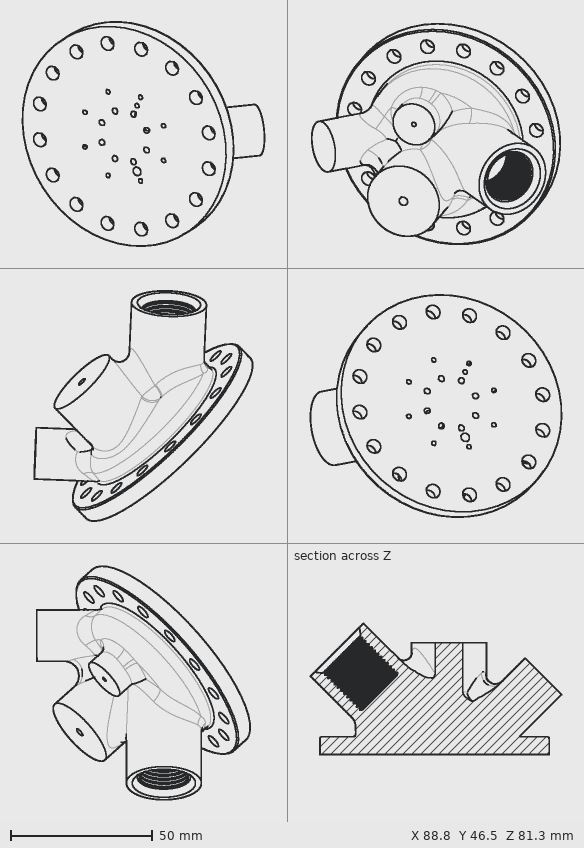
import cadquery as cq
import math

FLANGE_DIAMETER = 81.28
FLANGE_THICKNESS = 6.35
FLANGE_CHAMFER = 0.5
DOME_RADIUS = 28.0
DOME_TOP = 17.78
DOME_RIM_RADIUS = 6.35
DOME_BASE_FILLET = 0.9
BASE_RING_OVERLAP = 8.0

SMALL_BOSS_BLEND = 3.81
LARGE_BOSS_BLEND = 4.5
RIGHT_BOSS_BLEND = 5.5
SADDLE_BLEND = 5.4

BOLT_STEP = 22.5
BOLT_RING_RADIUS = 34.35
BOLT_HOLE_DIAMETER = 5.0

ORIFICE_STEP = 45.0
ORIFICE_DEPTH = 5.0
ORIFICE_TILT = 25.0
OUTER_ORIFICE_RING_RADIUS = 16.95
OUTER_ORIFICE_DIAMETER = 1.5
INNER_ORIFICE_RING_RADIUS = 9.65
INNER_ORIFICE_DIAMETER = 2.0

BOSS_RING_RADIUS = 13.3
BOSS_RING_ANGLE = 67.5
BIG_BOSS_RADIUS = 13.3
BIG_BOSS_TOP = 39.65
BIG_BOSS_HOLE_DIAMETER = 3.1
SMALL_BOSS_RADIUS = 7.75
SMALL_BOSS_TOP = 27.3
SMALL_BOSS_HOLE_DIAMETER = 1.6

SLANT = math.sqrt(0.5)
LEFT_BOSS_RADIUS = 13.3
LEFT_BOSS_END = (-34.5, 37.12, 0)
LEFT_BOSS_LENGTH = 50.0
RIGHT_BOSS_RADIUS = 9.13
RIGHT_BOSS_END = (38.47, 27.7, 0)
RIGHT_BOSS_LENGTH = 38.0
TOUCH_TOLERANCE = 1e-4
SADDLE_INSET = 0.05
SADDLE_SETBACK = 5.0
BOSS_ROOT_Y = 1.0

PORT_MOUTH_RADIUS = 11.2
PORT_MOUTH_DEPTH = 2.3
THREAD_MAJOR_RADIUS = 9.4
THREAD_MINOR_RADIUS = 8.7
THREAD_PITCH = 1.5875
THREAD_COUNT = 12
THREAD_CREST = 0.5

LEFT_DIRECTION = (-SLANT, SLANT, 0)
RIGHT_DIRECTION = (SLANT, SLANT, 0)
Y_DIRECTION = (0, 1, 0)


def cylinder(start, direction, radius, length):
    return cq.Workplane(cq.Solid.makeCylinder(radius, length, cq.Vector(*start), cq.Vector(*direction)))


def ring_point(radius, angle, y=0.0):
    """Point at a given radius and angle about the Y axis."""
    return (radius * math.cos(math.radians(angle)), y, radius * math.sin(math.radians(angle)))


def straight_boss(angle, radius, top):
    return cylinder(ring_point(BOSS_RING_RADIUS, angle, BOSS_ROOT_Y), Y_DIRECTION, radius, top - BOSS_ROOT_Y)


def slanted_boss(end, direction, radius, length):
    """Cylinder running inwards from its outer end, cut off above the mating face."""
    inward = tuple(-d for d in direction)
    boss = cylinder(end, inward, radius, length)
    below = cylinder((0, BOSS_ROOT_Y, 0), (0, -1, 0), FLANGE_DIAMETER, FLANGE_DIAMETER)
    return boss.cut(below)


def lies_on(solid, point):
    """True when the point is on the surface of the solid."""
    vertex = cq.Vertex.makeVertex(*point.toTuple())
    return any(vertex.distance(shell) < TOUCH_TOLERANCE for shell in solid.shells().vals())


def blend(radius, *solids):
    """Join the solids and round the edges where two of them meet."""
    joined = solids[0]
    for solid in solids[1:]:
        joined = joined.union(solid)
    seams = []
    for edge in joined.edges().vals():
        owners = sum(lies_on(solid, edge.positionAt(0.5)) for solid in solids)
        if owners > 1 and edge.geomType() != "LINE":
            seams.append(edge)
    return joined.newObject(seams).fillet(radius)


def flange_disc():
    disc = cylinder((0, 0, 0), Y_DIRECTION, FLANGE_DIAMETER / 2, FLANGE_THICKNESS)
    return disc.faces(">Y").edges().chamfer(FLANGE_CHAMFER)


def base_fillet():
    """Ring that rounds the corner between the dome wall and the flange."""
    inner = DOME_RADIUS - BASE_RING_OVERLAP
    outer = DOME_RADIUS + DOME_BASE_FILLET
    bottom = FLANGE_THICKNESS - DOME_BASE_FILLET
    top = FLANGE_THICKNESS + DOME_BASE_FILLET
    return (
        cq.Workplane("XY")
        .moveTo(inner, bottom)
        .lineTo(outer, bottom)
        .lineTo(outer, FLANGE_THICKNESS)
        .radiusArc((DOME_RADIUS, top), DOME_BASE_FILLET)
        .lineTo(inner, top)
        .close()
        .revolve(360, (0, 0), (0, 1))
    )


def boss_saddle():
    """Blend between the big and right bosses, carried by slightly slimmer and shorter bosses."""
    big_core = straight_boss(-BOSS_RING_ANGLE, BIG_BOSS_RADIUS - SADDLE_INSET, BIG_BOSS_TOP - SADDLE_SETBACK)
    core_end = tuple(c - SADDLE_SETBACK * d for c, d in zip(RIGHT_BOSS_END, RIGHT_DIRECTION))
    core_length = RIGHT_BOSS_LENGTH - SADDLE_SETBACK
    right_core = slanted_boss(core_end, RIGHT_DIRECTION, RIGHT_BOSS_RADIUS - SADDLE_INSET, core_length)
    return blend(SADDLE_BLEND, big_core, right_core)


def threaded_port():
    """Bore with a conical mouth and ring grooves, revolved about the left boss axis."""
    profile = [(0, 0), (PORT_MOUTH_RADIUS, 0), (THREAD_MAJOR_RADIUS, PORT_MOUTH_DEPTH)]
    for i in range(THREAD_COUNT):
        groove_start = PORT_MOUTH_DEPTH + i * THREAD_PITCH + THREAD_CREST
        groove_end = PORT_MOUTH_DEPTH + (i + 1) * THREAD_PITCH
        profile.append((THREAD_MINOR_RADIUS, groove_start - THREAD_CREST))
        profile.append((THREAD_MINOR_RADIUS, groove_start))
        profile.append((THREAD_MAJOR_RADIUS, (groove_start + groove_end) / 2))
    depth = PORT_MOUTH_DEPTH + THREAD_COUNT * THREAD_PITCH
    profile.append((THREAD_MINOR_RADIUS, depth))
    profile.append((0, depth))
    plane = cq.Plane(origin=LEFT_BOSS_END, xDir=(SLANT, SLANT, 0), normal=(0, 0, -1))
    return cq.Workplane(plane).polyline(profile).close().revolve(360, (0, 0), (0, 1))


def bolt_holes():
    holes = []
    for i in range(round(360 / BOLT_STEP)):
        start = ring_point(BOLT_RING_RADIUS, BOLT_STEP * (i + 0.5))
        holes.append(cylinder(start, Y_DIRECTION, BOLT_HOLE_DIAMETER / 2, FLANGE_THICKNESS).val())
    return cq.Workplane(cq.Compound.makeCompound(holes))


def through_hole(angle, diameter, top):
    return cylinder(ring_point(BOSS_RING_RADIUS, angle), Y_DIRECTION, diameter / 2, top)


def orifice_ring(ring_radius, diameter, tilt):
    """Eight tilted blind holes entering from the mating face."""
    lean = math.sin(math.radians(tilt))
    rise = math.cos(math.radians(tilt))
    lead_in = diameter
    holes = []
    for i in range(round(360 / ORIFICE_STEP)):
        angle = ORIFICE_STEP * (i + 0.5)
        direction = ring_point(lean, angle, rise)
        mouth = ring_point(ring_radius, angle)
        start = tuple(m - lead_in * d for m, d in zip(mouth, direction))
        holes.append(cylinder(start, direction, diameter / 2, ORIFICE_DEPTH + lead_in).val())
    return cq.Workplane(cq.Compound.makeCompound(holes))


dome = cylinder((0, 0, 0), Y_DIRECTION, DOME_RADIUS, DOME_TOP)
dome = dome.faces(">Y").edges().fillet(DOME_RIM_RADIUS)
big_boss = straight_boss(-BOSS_RING_ANGLE, BIG_BOSS_RADIUS, BIG_BOSS_TOP)
small_boss = straight_boss(BOSS_RING_ANGLE, SMALL_BOSS_RADIUS, SMALL_BOSS_TOP)
left_boss = slanted_boss(LEFT_BOSS_END, LEFT_DIRECTION, LEFT_BOSS_RADIUS, LEFT_BOSS_LENGTH)
right_boss = slanted_boss(RIGHT_BOSS_END, RIGHT_DIRECTION, RIGHT_BOSS_RADIUS, RIGHT_BOSS_LENGTH)

body = blend(LARGE_BOSS_BLEND, dome, left_boss, big_boss)
body = body.union(blend(RIGHT_BOSS_BLEND, dome, right_boss))
body = body.union(flange_disc())
body = body.union(base_fillet())
body = body.union(blend(SMALL_BOSS_BLEND, dome, small_boss))
body = body.union(boss_saddle())

body = body.cut(threaded_port())
body = body.cut(bolt_holes())
body = body.cut(through_hole(-BOSS_RING_ANGLE, BIG_BOSS_HOLE_DIAMETER, BIG_BOSS_TOP))
body = body.cut(through_hole(BOSS_RING_ANGLE, SMALL_BOSS_HOLE_DIAMETER, SMALL_BOSS_TOP))
body = body.cut(orifice_ring(OUTER_ORIFICE_RING_RADIUS, OUTER_ORIFICE_DIAMETER, ORIFICE_TILT))
body = body.cut(orifice_ring(INNER_ORIFICE_RING_RADIUS, INNER_ORIFICE_DIAMETER, -ORIFICE_TILT))

result = cq.Workplane(body.solids().val())